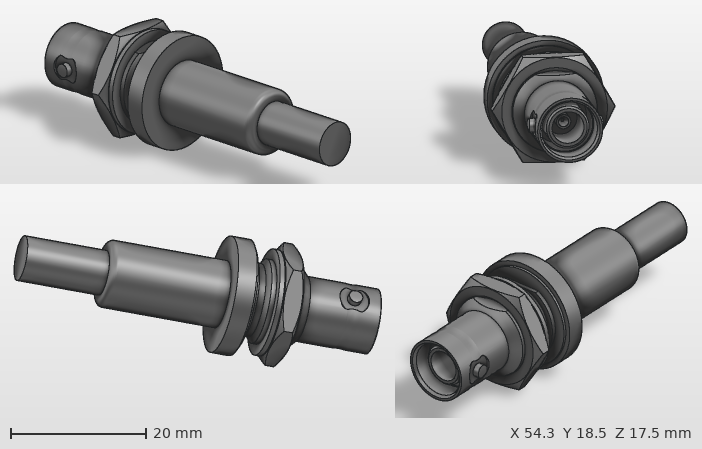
import cadquery as cq
import math


TOTAL_LENGTH = 54.3

SOCKET_RADIUS = 4.9
RIM_RADIUS = 4.5
LEAD_IN_DEPTH = 0.5
MOUTH_RADIUS = 4.2
MOUTH_DEPTH = 3.55
BORE_RADIUS = 4.0
BORE_DEPTH = 8.7

STUD_X = 4.1
STUD_RADIUS = 1.05
STUD_TIP_RADIUS = 5.55
SPOTFACE_RADIUS = 2.3
SPOTFACE_LEVEL = 4.5
GROOVE_HALF_WIDTH = 0.9
GROOVE_DEPTH = 0.08

NECK_RADIUS = 6.35
NECK_START = 10.95
RELIEF_RADIUS = 5.51
RELIEF_SLOPE_START = 17.45
RELIEF_START = 18.1
RELIEF_END = 19.35
NECK_FLAT_HEIGHT = 5.55

SEAT_START = 20.05
SEAT_RADIUS = 8.0
FLANGE_START = 20.45
FLANGE_END = 23.35
FLANGE_RADIUS = 8.75
BARREL_RADIUS = 5.05
BARREL_END = 41.65
BARREL_FILLET = 0.9

NUT_START = 12.9
NUT_END = 15.75
NUT_ACROSS_CORNERS = 18.45
NUT_FACE_RADIUS = 7.95
NUT_CHAMFER_ANGLE = 30.0
NUT_BORE_RADIUS = 5.8
NUT_COUNTERSINK_RADIUS = 6.4
WASHER_START = 15.9
WASHER_END = 16.65
WASHER_RADIUS = SEAT_RADIUS

INSULATOR_RADIUS = 3.2
INSULATOR_START = 1.75
INSULATOR_END = 16.3
INSULATOR_CHAMFER = 0.3
CAVITY_RADIUS = 2.4
CAVITY_END = 7.6
CONTACT_RADIUS = 1.1
CONTACT_START = 5.45
COUNTERSINK_RADIUS = 0.75
CONTACT_HOLE_RADIUS = 0.2
CONTACT_HOLE_DEPTH = 1.1
TUBE_RADIUS = 3.35


def revolve_about_x(points):
    """Revolve a closed (x, radius) outline a full turn about the X axis."""
    return cq.Workplane("XY").polyline(points).close().revolve(360, (0, 0, 0), (1, 0, 0))


def disc(start, end, radius):
    """Solid cylinder on the X axis between two stations."""
    return cq.Workplane("YZ", origin=(start, 0, 0)).circle(radius).extrude(end - start)


def housing_blank():
    blank = revolve_about_x([
        (0, 0),
        (0, SOCKET_RADIUS),
        (NECK_START, SOCKET_RADIUS),
        (NECK_START + NECK_RADIUS - SOCKET_RADIUS, NECK_RADIUS),
        (RELIEF_SLOPE_START, NECK_RADIUS),
        (RELIEF_START, RELIEF_RADIUS),
        (RELIEF_END, RELIEF_RADIUS),
        (RELIEF_END, NECK_RADIUS),
        (SEAT_START, NECK_RADIUS),
        (SEAT_START, SEAT_RADIUS),
        (FLANGE_START, SEAT_RADIUS),
        (FLANGE_START, FLANGE_RADIUS),
        (FLANGE_END, FLANGE_RADIUS),
        (FLANGE_END, BARREL_RADIUS),
        (BARREL_END, BARREL_RADIUS),
        (BARREL_END, 0),
    ])
    return blank.faces(">X").edges().fillet(BARREL_FILLET)


def socket_bore():
    """Stepped bore with a lead-in cone, ending in the pocket that holds the insulator."""
    return revolve_about_x([
        (0, 0),
        (0, RIM_RADIUS),
        (LEAD_IN_DEPTH, MOUTH_RADIUS),
        (MOUTH_DEPTH, MOUTH_RADIUS),
        (MOUTH_DEPTH, BORE_RADIUS),
        (BORE_DEPTH, BORE_RADIUS),
        (BORE_DEPTH, INSULATOR_RADIUS),
        (INSULATOR_END, INSULATOR_RADIUS),
        (INSULATOR_END, 0),
    ])


def ring_groove():
    """Shallow arc-bottomed groove around the socket at the studs."""
    return (
        cq.Workplane("XY")
        .moveTo(STUD_X - GROOVE_HALF_WIDTH, SOCKET_RADIUS)
        .threePointArc(
            (STUD_X, SOCKET_RADIUS - GROOVE_DEPTH),
            (STUD_X + GROOVE_HALF_WIDTH, SOCKET_RADIUS),
        )
        .close()
        .revolve(360, (0, 0, 0), (1, 0, 0))
    )


def neck_flat():
    """Block above the flat on top of the threaded neck."""
    block_height = NECK_RADIUS - NECK_FLAT_HEIGHT
    return cq.Workplane("XY").box(
        SEAT_START - NECK_START, 2 * NECK_RADIUS, block_height, centered=(False, True, False)
    ).translate((NECK_START, 0, NECK_FLAT_HEIGHT))


def radial_cylinder(radius, inner, outer, side):
    """Cylinder along Y at the stud station, on the side given by the sign of Y."""
    return (
        cq.Workplane("XZ", origin=(STUD_X, side * inner, 0))
        .circle(radius)
        .extrude(-side * (outer - inner))
    )


def bayonet_stud(side):
    """Radial stud rooted in the socket wall, its tip rounded about the X axis."""
    stud = radial_cylinder(STUD_RADIUS, MOUTH_RADIUS, FLANGE_RADIUS, side)
    return stud.intersect(disc(0, NECK_START, STUD_TIP_RADIUS))


def make_housing():
    housing = housing_blank().cut(ring_groove()).cut(neck_flat())
    for side in (-1, 1):
        housing = housing.cut(radial_cylinder(SPOTFACE_RADIUS, SPOTFACE_LEVEL, FLANGE_RADIUS, side))
        housing = housing.union(bayonet_stud(side))
    return housing.cut(socket_bore())


def nut_bore():
    """Bore countersunk at 45 degrees on both faces, cleared to fit the flatted neck."""
    countersink_depth = NUT_COUNTERSINK_RADIUS - NUT_BORE_RADIUS
    countersunk_bore = revolve_about_x([
        (NUT_START, 0),
        (NUT_START, NUT_COUNTERSINK_RADIUS),
        (NUT_START + countersink_depth, NUT_BORE_RADIUS),
        (NUT_END - countersink_depth, NUT_BORE_RADIUS),
        (NUT_END, NUT_COUNTERSINK_RADIUS),
        (NUT_END, 0),
    ])
    flatted_neck = disc(NUT_START, NUT_END, NECK_RADIUS).cut(neck_flat())
    return countersunk_bore.union(flatted_neck)


def make_nut():
    """Hexagon nut with corners on +Y and -Y, chamfered on both faces."""
    corner_radius = NUT_ACROSS_CORNERS / 2
    chamfer_length = (corner_radius - NUT_FACE_RADIUS) * math.tan(math.radians(NUT_CHAMFER_ANGLE))
    hexagon = (
        cq.Workplane("YZ", origin=(NUT_START, 0, 0))
        .polygon(6, NUT_ACROSS_CORNERS)
        .extrude(NUT_END - NUT_START)
    )
    chamfered_envelope = revolve_about_x([
        (NUT_START, 0),
        (NUT_START, NUT_FACE_RADIUS),
        (NUT_START + chamfer_length, corner_radius),
        (NUT_END - chamfer_length, corner_radius),
        (NUT_END, NUT_FACE_RADIUS),
        (NUT_END, 0),
    ])
    return hexagon.intersect(chamfered_envelope).cut(nut_bore())


def make_washer():
    blank = disc(WASHER_START, WASHER_END, WASHER_RADIUS)
    return blank.cut(disc(WASHER_START, WASHER_END, NECK_RADIUS))


def make_insulator():
    """Sleeve open at the front, with a hole behind its cavity for the contact."""
    return revolve_about_x([
        (INSULATOR_START, CAVITY_RADIUS),
        (INSULATOR_START, INSULATOR_RADIUS - INSULATOR_CHAMFER),
        (INSULATOR_START + INSULATOR_CHAMFER, INSULATOR_RADIUS),
        (INSULATOR_END, INSULATOR_RADIUS),
        (INSULATOR_END, CONTACT_RADIUS),
        (CAVITY_END, CONTACT_RADIUS),
        (CAVITY_END, CAVITY_RADIUS),
    ])


def make_contact():
    """Round contact with a tapered socket hole in its front end."""
    return revolve_about_x([
        (CONTACT_START, COUNTERSINK_RADIUS),
        (CONTACT_START, CONTACT_RADIUS),
        (INSULATOR_END, CONTACT_RADIUS),
        (INSULATOR_END, 0),
        (CONTACT_START + CONTACT_HOLE_DEPTH, 0),
        (CONTACT_START + CONTACT_HOLE_DEPTH, CONTACT_HOLE_RADIUS),
    ])


def make_tube():
    return disc(BARREL_END, TOTAL_LENGTH, TUBE_RADIUS)


housing = make_housing()
nut = make_nut()
washer = make_washer()
insulator = make_insulator()
contact = make_contact()
tube = make_tube()

result = cq.Compound.makeCompound([
    housing.val(),
    nut.val(),
    washer.val(),
    insulator.val(),
    contact.val(),
    tube.val(),
])